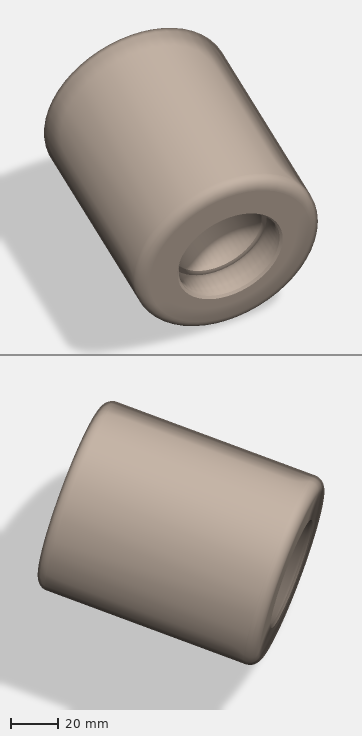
import cadquery as cq

length = 100.0
outer_diameter = 85.0
edge_radius = 5.0
bore_diameter = 42.0
seat_diameter = 46.8
seat_depth = 14.0
seat_chamfer = 1.0

half_length = length / 2


def disc(diameter, start, thickness):
    """Cylinder along +X whose first face lies at x = start."""
    return cq.Workplane("YZ", origin=(start, 0, 0)).circle(diameter / 2).extrude(thickness)


body = disc(outer_diameter, -half_length, length).faces("<X or >X").edges().fillet(edge_radius)


def seat_cutter():
    """Bearing seat at the -X end with a chamfered mouth."""
    seat = disc(seat_diameter, -half_length, seat_depth)
    mouth = (
        cq.Workplane("YZ", origin=(-half_length, 0, 0))
        .circle(seat_diameter / 2 + seat_chamfer)
        .workplane(offset=seat_chamfer)
        .circle(seat_diameter / 2)
        .loft(ruled=True)
    )
    return seat.union(mouth)


near_seat = seat_cutter()
far_seat = near_seat.mirror("YZ")
result = body.cut(disc(bore_diameter, -half_length, length)).cut(near_seat).cut(far_seat)